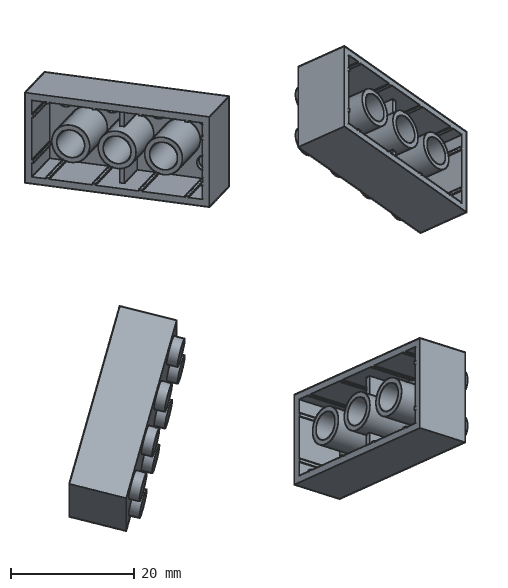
import cadquery as cq


length = 31.8
height = 15.8
body_depth = 9.6
wall = 1.2
roof = 1.0
cavity_depth = body_depth - roof
cavity_length = length - 2 * wall
cavity_height = height - 2 * wall

columns = 4
rows = 2
end_clearance = 0.2
pitch = (length + end_clearance) / columns
stud_diameter = 4.8
stud_height = 1.78

pin_hole_diameter = 2.6
pin_hole_depth = roof

tube_outer_diameter = 6.52
tube_inner_diameter = stud_diameter

web_thickness = 0.83
web_setback = 2.32

rib_width = 0.6
rib_height = 0.2

column_places = [(i - (columns - 1) / 2) * pitch for i in range(columns)]
row_places = [(i - (rows - 1) / 2) * pitch for i in range(rows)]
tube_places = [(x + pitch / 2, 0) for x in column_places[:-1]]
stud_places = [(x, z) for x in column_places for z in row_places]


def plane_at(y):
    """Sketch plane at depth y whose local axes are X and Z and whose normal is -Y."""
    return cq.Workplane("XZ", origin=(0, y, 0))


def block(x, z, size_x, size_z, y_start, y_end):
    """Rectangular block centred on (x, z), from y_start to y_end."""
    return plane_at(y_end).center(x, z).rect(size_x, size_z).extrude(y_end - y_start)


def cylinders(places, diameter, y_start, y_end):
    """Equal round bars along Y, from y_start to y_end."""
    return plane_at(y_end).pushPoints(places).circle(diameter / 2).extrude(y_end - y_start)


result = block(0, 0, length, height, 0, body_depth)
result = result.cut(block(0, 0, cavity_length, cavity_height, 0, cavity_depth))
result = result.union(cylinders(stud_places, stud_diameter, body_depth, body_depth + stud_height))

result = result.union(block(0, 0, web_thickness, cavity_height, web_setback, cavity_depth))

result = result.union(cylinders(tube_places, tube_outer_diameter, 0, cavity_depth))
result = result.cut(cylinders(tube_places, tube_inner_diameter, 0, cavity_depth))

rib_x = (cavity_length - rib_height) / 2
rib_z = (cavity_height - rib_height) / 2
for side in (-1, 1):
    for x in column_places:
        result = result.union(block(x, side * rib_z, rib_width, rib_height, 0, cavity_depth))
    for z in row_places:
        result = result.union(block(side * rib_x, z, rib_height, rib_width, 0, cavity_depth))

pin_hole_end = cavity_depth + pin_hole_depth
result = result.cut(cylinders(stud_places, pin_hole_diameter, cavity_depth, pin_hole_end))